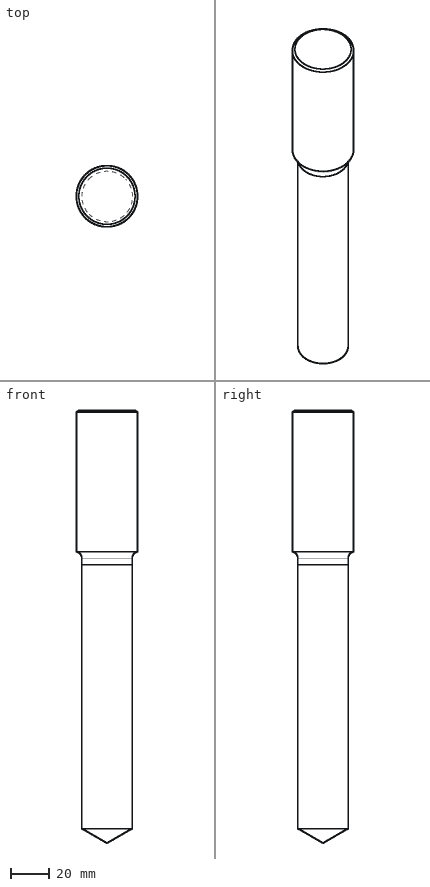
import cadquery as cq
import math

total_length = 225.0
shank_diameter = 32.0
cutter_diameter = 26.3
point_angle = 120.0
shank_length = 73.5
shoulder_radius = 3.4
neck_length = 3.4
top_chamfer_width = 1.4
top_chamfer_height = 1.0

shank_radius = shank_diameter / 2
cutter_radius = cutter_diameter / 2
point_height = cutter_radius / math.tan(math.radians(point_angle / 2))
shoulder_top = total_length - shank_length
shoulder_width = shank_radius - cutter_radius
shoulder_angle = math.acos(1 - shoulder_width / shoulder_radius)
shoulder_bottom = shoulder_top - shoulder_radius * math.sin(shoulder_angle)
cutter_top = shoulder_bottom - neck_length


def revolve_profile(profile):
    """Close a radius-height profile and turn it once around the Z axis."""
    return profile.close().revolve(360, (0, 0, 0), (0, 1, 0))


def make_cutter():
    """Round cutting body with a conical point."""
    return revolve_profile(
        cq.Workplane("XZ")
        .moveTo(0, 0)
        .lineTo(cutter_radius, point_height)
        .lineTo(cutter_radius, cutter_top)
        .lineTo(0, cutter_top)
    )


def make_shank():
    """Clamping shank with a neck, a concave shoulder and a chamfered top."""
    half_angle = shoulder_angle / 2
    arc_middle = (
        cutter_radius + shoulder_radius * (1 - math.cos(half_angle)),
        shoulder_bottom + shoulder_radius * math.sin(half_angle),
    )
    return revolve_profile(
        cq.Workplane("XZ")
        .moveTo(0, cutter_top)
        .lineTo(cutter_radius, cutter_top)
        .lineTo(cutter_radius, shoulder_bottom)
        .threePointArc(arc_middle, (shank_radius, shoulder_top))
        .lineTo(shank_radius, total_length - top_chamfer_height)
        .lineTo(shank_radius - top_chamfer_width, total_length)
        .lineTo(0, total_length)
    )


cutter = make_cutter()
shank = make_shank()

result = cq.Compound.makeCompound([cutter.val(), shank.val()])